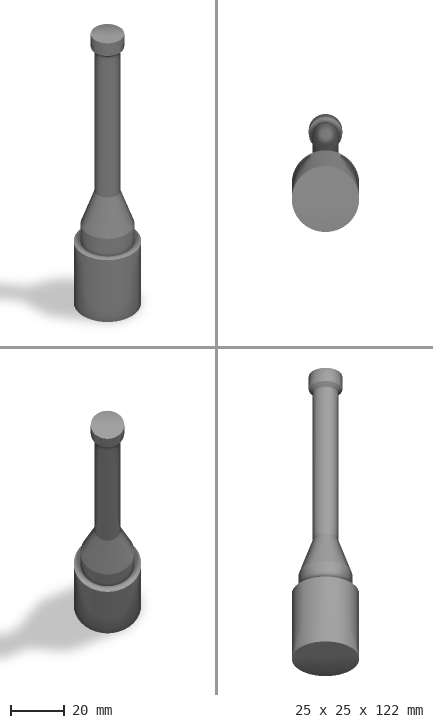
import cadquery as cq

total_height = 122.0
base_diameter = 25.0
base_height = 28.0
collar_diameter = 20.0
collar_height = 7.9
cone_height = 15.0
stem_diameter = 9.5
head_diameter = 12.5
head_height = 5.7
head_taper_height = 1.5

collar_top = base_height + collar_height
cone_top = collar_top + cone_height
head_bottom = total_height - head_height
stem_top = head_bottom - head_taper_height

base_radius = base_diameter / 2
collar_radius = collar_diameter / 2
stem_radius = stem_diameter / 2
head_radius = head_diameter / 2

half_section = [
    (0, 0),
    (base_radius, 0),
    (base_radius, base_height),
    (collar_radius, base_height),
    (collar_radius, collar_top),
    (stem_radius, cone_top),
    (stem_radius, stem_top),
    (head_radius, head_bottom),
    (head_radius, total_height),
    (0, total_height),
]

result = (
    cq.Workplane("XZ")
    .polyline(half_section)
    .close()
    .revolve(360, (0, 0, 0), (0, 1, 0))
)